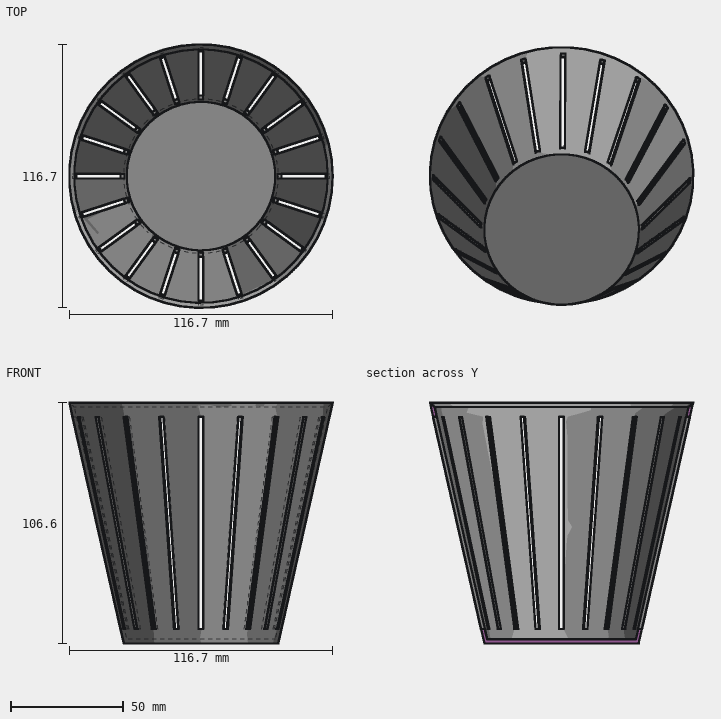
import cadquery as cq

height = 106.6
top_radius = 116.65 / 2
base_radius = 34.2
wall_width = 1.8
floor_thickness = 2.0
rim_drop = 2.0

slot_count = 20
slot_width = 2.0
slot_bottom = 6.5
slot_top = 100.3

wall_slope = (top_radius - base_radius) / height
floor_radius = base_radius - wall_width + wall_slope * floor_thickness
rim_inner_radius = top_radius - wall_width - wall_slope * rim_drop


def make_cup():
    """Tapered open cup with a solid floor and an inward-sloping rim, revolved about Z."""
    profile = (
        cq.Workplane("XZ")
        .polyline([
            (0, 0),
            (base_radius, 0),
            (top_radius, height),
            (rim_inner_radius, height - rim_drop),
            (floor_radius, floor_thickness),
            (0, floor_thickness),
        ])
        .close()
    )
    return profile.revolve(360, (0, 0, 0), (0, 1, 0))


def make_slot_cutter(angle):
    """Upright radial blade running from the axis out to the rim radius."""
    blade = cq.Workplane("XY").box(
        top_radius,
        slot_width,
        slot_top - slot_bottom,
        centered=(False, True, False),
    )
    return blade.translate((0, 0, slot_bottom)).rotate((0, 0, 0), (0, 0, 1), angle)


def cut_slots(cup):
    """Cut evenly spaced slots through the wall, the first on +X."""
    for index in range(slot_count):
        cup = cup.cut(make_slot_cutter(index * 360 / slot_count))
    return cup


result = cut_slots(make_cup())